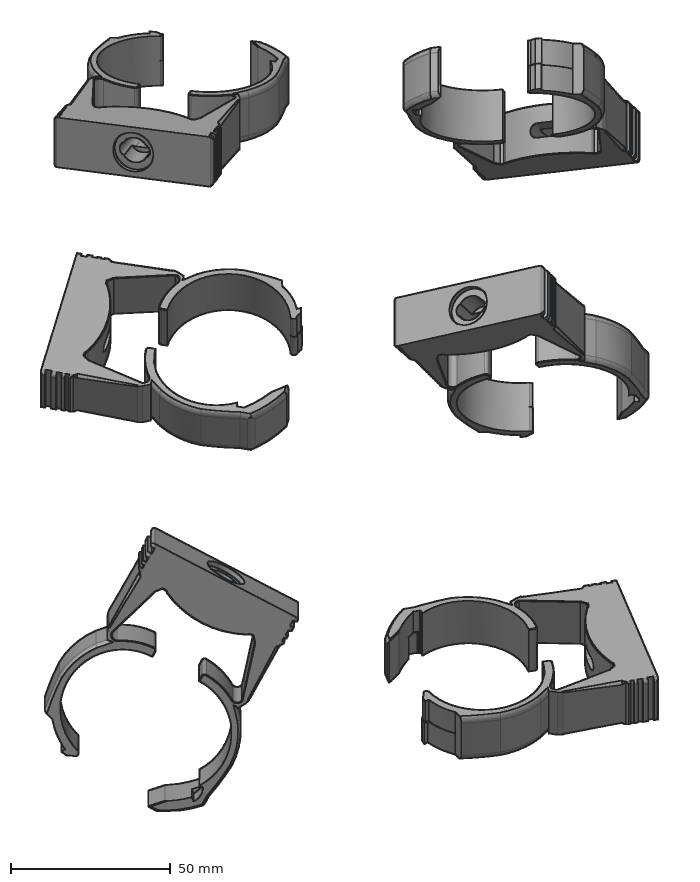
import cadquery as cq
import math


half_depth = 8.5
total_height = 77.24
half_span = 30.9

core_half_width = 24.9
leg_half_width = 25.1
leg_bottom = 10.4
leg_top = 30.9
shoulder = (24.65, 32.5)
hinge = (23.35, 34.9)
hinge_top = (23.35, 35.4)

leg_bevel_stations = [(leg_top, 0.45, 0.2), (11.5, 1.0, 0.95), (10.6, 0.1, 0.1)]

wide_rib = 26.15
narrow_rib = 25.85
ribs = [
    (0.0, 1.45, wide_rib),
    (3.35, 5.0, wide_rib),
    (6.65, 7.85, narrow_rib),
    (8.95, leg_bottom, narrow_rib),
]
foot_round = 0.8
top_rib_bevel = 0.8
deep_groove_half_width = 24.65

counterbore_radius = 6.6
counterbore_depth = 1.7
bore_radius = 4.2
bore_depth = 10.0
slot_length = 10.0
slot_width = 4.9

jaw_x = 8.25
jaw_y = 52.55
jaw_radius = 19.6
underside_y = 53.2
underside_radius = 23.2
jaw_flank = (25.75, 38.1)
jaw_belly = (29.45, 45.0)
jaw_widest = (half_span, 52.6)
jaw_upper_mid = (30.35, 59.0)
wall_end = (29.4, 64.9)
edge_round = 2.78
edge_round_depth = 2.05
envelope_margin = 9.0
clearance = 1.0
jaw_end_round = 1.1
rim_chamfer = 0.25

inside_jaw_root = (20.5, 34.6)
inside_jaw_end = (jaw_x, 31.0)

tongue_start = (-26.1, 65.95)
tongue_mid = (-22.4, 69.75)
catch_root = (-17.85, 72.4)
catch_barb = (-18.5, 73.7)
catch_top = (-16.4, 73.95)
catch_front = (-14.6, 73.1)
catch_nose = (-13.4, 72.1)
catch_end = (-14.0, 71.25)
lower_catch_rise = 0.3

hood_wall_top = (wall_end[0], 66.9)
hood_corner_mid = (29.15, 68.35)
hood_corner_end = (28.4, 69.5)
hood_mid = (23.9, 73.4)
hood_ridge = (17.3, total_height)
hood_tip_top = (14.6, total_height)
hood_tip = (13.95, 76.75)
hood_bevel_end = (17.65, 72.7)
hood_inner_mid = (22.55, 69.3)
hood_inner_end = (26.4, 65.55)
notch_bottom = (26.4, 63.5)
notch_corner = (25.9, 63.05)
lip_tip_y = 63.05

deep_notch_start = (24.4, 67.4)
deep_notch_wall_top = (25.7, 68.5)
deep_notch_wall_mid = (26.5, 66.8)
deep_notch_wall_end = (26.6, 64.3)

saddle_top = 15.9
saddle_radius = 31.8
saddle_end_x = 14.3
window_foot_start = (14.95, 11.95)
window_foot_end = (16.1, 11.85)
window_leg_bottom = (17.65, 13.7)
window_leg_top = (23.15, 32.1)
window_crown = (22.35, 33.4)
window_crown_end_x = 20.7


def mirror_x(point):
    return (-point[0], point[1])


def circle_y(x, centre_x, centre_y, radius, side):
    """Y of a circle at x, on its upper (side = 1) or lower (side = -1) half."""
    return centre_y + side * math.sqrt(radius**2 - (x - centre_x) ** 2)


def jaw_bore_x(y):
    """X of the right jaw's inner face at height y."""
    return jaw_x + math.sqrt(jaw_radius**2 - (y - jaw_y) ** 2)


def prism(outline, half_height=half_depth):
    return outline.close().extrude(half_height, both=True)


def make_leg_bevel(side_x, side_z):
    """Wedge along one outer edge of a leg, widening toward the base and ending in a steep slope."""
    x = side_x * leg_half_width
    z = side_z * half_depth
    sections = []
    for y, width, depth in leg_bevel_stations:
        corners = [
            cq.Vector(x, y, z),
            cq.Vector(x - side_x * width, y, z),
            cq.Vector(x, y, z - side_z * depth),
        ]
        sections.append(cq.Wire.makePolygon(corners, close=True))
    return cq.Workplane(obj=cq.Solid.makeLoft(sections, True))


def make_frame():
    """Base and legs as one block up to the hinges, before the window is cut."""
    right_side = [
        (core_half_width, 0),
        (core_half_width, leg_bottom),
        (leg_half_width, leg_bottom),
        (leg_half_width, leg_top),
        shoulder,
        hinge,
        inside_jaw_root,
        inside_jaw_end,
    ]
    left_side = [mirror_x(point) for point in reversed(right_side)]
    frame = prism(cq.Workplane("XY").polyline(right_side + left_side))
    for side_x in (1, -1):
        for side_z in (1, -1):
            frame = frame.cut(make_leg_bevel(side_x, side_z))
    return frame


def add_ribs(body):
    """Add the grip ribs, rounded where they meet the flat faces, and deepen the lowest groove."""
    for index, (bottom, top, half_width) in enumerate(ribs):
        bar = cq.Workplane("XY").box(2 * half_width, top - bottom, 2 * half_depth)
        bar = bar.translate((0, (bottom + top) / 2, 0))
        bar = bar.edges("|Y").fillet(half_width - core_half_width)
        if index == 0:
            bar = bar.intersect(make_footed_block(top))
        if index == len(ribs) - 1:
            bar = bar.intersect(make_bevelled_block(bottom, top))
        body = body.union(bar)

    groove_bottom = ribs[0][1]
    groove_top = ribs[1][0]
    groove_width = wide_rib - deep_groove_half_width
    groove_x = (wide_rib + deep_groove_half_width) / 2
    groove_y = (groove_bottom + groove_top) / 2
    for side in (1, -1):
        groove = cq.Workplane("XY").box(groove_width, groove_top - groove_bottom, 2 * half_depth)
        groove = groove.translate((side * groove_x, groove_y, 0))
        body = body.cut(groove)
    return body


def make_footed_block(top):
    """Block with rounded bottom corners."""
    foot = cq.Workplane("XY").box(2 * wide_rib, 2 * top, 2 * half_depth)
    foot = foot.edges("|Z and <Y").fillet(foot_round)
    return foot.translate((0, top, 0))


def make_bevelled_block(bottom, top):
    """Block with bevelled top corners."""
    block = cq.Workplane("XY").box(2 * narrow_rib, top - bottom, 2 * half_depth)
    block = block.edges("|Z and >Y").chamfer(top_rib_bevel)
    return block.translate((0, (bottom + top) / 2, 0))


def rounded_slab(outline):
    """Slab over an outline with its outside edges rounded.

    It is over-thick so that the rounding, trimmed at the part's flat faces,
    reaches them at a slope.
    """
    slab = prism(outline, half_depth - edge_round_depth + edge_round)
    return slab.faces("|Z").edges().fillet(edge_round)


def make_wall_envelope(side):
    """Everything inside the outer wall of a jaw, carried on above it; side is 1 right, -1 left.

    The remaining sides lie well clear of the jaw.
    """
    flank_slope = (jaw_flank[1] - hinge_top[1]) / (jaw_flank[0] - hinge_top[0])
    foot_x = hinge_top[0] - envelope_margin
    foot_y = hinge_top[1] - flank_slope * envelope_margin
    top_y = total_height + envelope_margin
    base_y = foot_y - envelope_margin

    outline = start_outer_chain(side).threePointArc(
        (side * jaw_upper_mid[0], jaw_upper_mid[1]), (side * wall_end[0], wall_end[1])
    )
    outline = outline.lineTo(side * wall_end[0], top_y).lineTo(-side * envelope_margin, top_y)
    outline = outline.lineTo(-side * envelope_margin, base_y).lineTo(side * foot_x, base_y)
    return rounded_slab(outline.lineTo(side * foot_x, foot_y))


def make_hood_envelope():
    """Disc that rounds the outside of the hood, cut off by a rounded flat at its ridge."""
    centre_x, centre_y, radius = circle_through(hood_corner_end, hood_mid, hood_ridge)
    slab_height = half_depth - edge_round_depth + edge_round
    disc = cq.Workplane("XY").center(centre_x, centre_y).circle(radius).extrude(slab_height, both=True)
    disc = disc.edges("%CIRCLE").fillet(edge_round)
    flat = cq.Workplane("XY").box(4 * radius, 2 * total_height, 2 * slab_height)
    flat = flat.edges(">Y and |X").fillet(edge_round)
    below = cq.Workplane("XY").box(4 * radius, 2 * jaw_y, 2 * slab_height)
    return disc.intersect(flat).union(below)


def circle_through(first, second, third):
    """Centre X, centre Y and radius of the circle through three points."""
    edge = cq.Edge.makeThreePointArc(cq.Vector(*first), cq.Vector(*second), cq.Vector(*third))
    centre = edge.arcCenter()
    return centre.x, centre.y, edge.radius()


def start_outer_chain(side):
    """Outer face of a jaw from the hinge up to its widest point; side is 1 right, -1 left."""
    chain = cq.Workplane("XY").moveTo(side * hinge_top[0], hinge_top[1])
    chain = chain.lineTo(side * jaw_flank[0], jaw_flank[1])
    return chain.threePointArc((side * jaw_belly[0], jaw_belly[1]), (side * jaw_widest[0], jaw_widest[1]))


def close_jaw_root(chain, side):
    """Close a jaw outline from the bottom of its bore, through window space, to the hinge."""
    below_jaw_y = underside_y - underside_radius - clearance
    return chain.lineTo(side * jaw_x, below_jaw_y).lineTo(side * hinge[0], hinge[1])


def left_jaw_outline(rise):
    """Left jaw with its catch lifted by rise."""
    def lifted(point):
        return (point[0], point[1] + rise)

    chain = start_outer_chain(-1)
    chain = chain.threePointArc(mirror_x(jaw_upper_mid), mirror_x(wall_end))
    chain = chain.lineTo(*tongue_start).threePointArc(tongue_mid, lifted(catch_root))
    chain = chain.lineTo(*lifted(catch_barb)).lineTo(*lifted(catch_top))
    chain = chain.lineTo(*lifted(catch_front)).threePointArc(catch_nose, catch_end)
    chain = chain.threePointArc((-jaw_x - jaw_radius, jaw_y), (-jaw_x, jaw_y - jaw_radius))
    return close_jaw_root(chain, -1)


def make_left_jaw():
    upper = left_jaw_outline(0).close().extrude(half_depth)
    lower = left_jaw_outline(lower_catch_rise).close().extrude(-half_depth)
    return upper.union(lower).intersect(make_wall_envelope(-1))


def make_right_jaw():
    chain = start_outer_chain(1).threePointArc(jaw_upper_mid, wall_end).lineTo(*hood_wall_top)
    chain = chain.threePointArc(hood_corner_mid, hood_corner_end).threePointArc(hood_mid, hood_ridge)
    chain = chain.lineTo(*hood_tip_top).lineTo(*hood_tip).lineTo(*hood_bevel_end)
    chain = chain.threePointArc(hood_inner_mid, hood_inner_end)
    chain = chain.lineTo(*notch_bottom).lineTo(*notch_corner).lineTo(jaw_bore_x(lip_tip_y), lip_tip_y)
    chain = chain.threePointArc((jaw_x + jaw_radius, jaw_y), (jaw_x, jaw_y - jaw_radius))
    jaw = prism(close_jaw_root(chain, 1))

    bevel_mid_x = (hood_tip[0] + hood_bevel_end[0]) / 2
    bevel_mid_y = (hood_tip[1] + hood_bevel_end[1]) / 2
    for z in (half_depth, -half_depth):
        tip_edge = cq.selectors.NearestToPointSelector((bevel_mid_x, bevel_mid_y, z))
        jaw = jaw.edges(tip_edge).chamfer(rim_chamfer)

    jaw = jaw.intersect(make_wall_envelope(1)).intersect(make_hood_envelope())
    return jaw.cut(make_deep_notch())


def make_deep_notch():
    """Pocket that lengthens and deepens the catch notch below Z = 0."""
    outline = cq.Workplane("XY").moveTo(*deep_notch_start).lineTo(*deep_notch_wall_top)
    outline = outline.threePointArc(deep_notch_wall_mid, deep_notch_wall_end)
    outline = outline.lineTo(*notch_corner).lineTo(jaw_bore_x(lip_tip_y), lip_tip_y)
    return outline.close().extrude(-half_depth)


def window_outline():
    """Opening bounded by the saddle, the legs and the undersides of the jaws."""
    saddle_centre_y = saddle_top - saddle_radius
    saddle_end = (saddle_end_x, circle_y(saddle_end_x, 0, saddle_centre_y, saddle_radius, 1))
    crown_y = circle_y(window_crown_end_x, jaw_x, underside_y, underside_radius, -1)
    crown_end = (window_crown_end_x, crown_y)
    jaw_end_bottom = underside_y - underside_radius
    round_start_x = jaw_x + jaw_end_round
    round_start = (round_start_x, circle_y(round_start_x, jaw_x, underside_y, underside_radius, -1))
    under_mid_x = (window_crown_end_x + round_start_x) / 2
    under_mid = (under_mid_x, circle_y(under_mid_x, jaw_x, underside_y, underside_radius, -1))
    round_inset = jaw_end_round * (1 - math.sqrt(0.5))
    round_mid = (jaw_x + round_inset, jaw_end_bottom + round_inset)
    round_end = (jaw_x, jaw_end_bottom + jaw_end_round)
    open_top_y = jaw_y - jaw_radius + clearance

    outline = cq.Workplane("XY").moveTo(*mirror_x(saddle_end)).threePointArc((0, saddle_top), saddle_end)
    outline = outline.lineTo(*window_foot_start).lineTo(*window_foot_end).lineTo(*window_leg_bottom)
    outline = outline.lineTo(*window_leg_top).threePointArc(window_crown, crown_end)
    outline = outline.threePointArc(under_mid, round_start).threePointArc(round_mid, round_end)
    outline = outline.lineTo(jaw_x, open_top_y).lineTo(-jaw_x, open_top_y).lineTo(*mirror_x(round_end))
    outline = outline.threePointArc(mirror_x(round_mid), mirror_x(round_start))
    outline = outline.threePointArc(mirror_x(under_mid), mirror_x(crown_end))
    outline = outline.threePointArc(mirror_x(window_crown), mirror_x(window_leg_top))
    outline = outline.lineTo(*mirror_x(window_leg_bottom)).lineTo(*mirror_x(window_foot_end))
    return outline.lineTo(*mirror_x(window_foot_start)).close()


def make_window():
    """Window cutter, flaring at both faces to chamfer the rim."""
    window = window_outline().extrude(half_depth, both=True)
    flare = window_outline().extrude(rim_chamfer, taper=-45)
    flare = flare.translate((0, 0, half_depth - rim_chamfer))
    return window.union(flare).union(flare.mirror("XY"))


def make_screw_hole():
    """Counterbore and round bore from the base face, then a slot through to the window."""
    base_face = cq.Workplane("XZ")
    counterbore = base_face.circle(counterbore_radius).extrude(-counterbore_depth)
    bore = base_face.circle(bore_radius).extrude(-bore_depth)
    slot = base_face.slot2D(slot_length, slot_width).extrude(-saddle_top)
    return counterbore.union(bore).union(slot)


body = add_ribs(make_frame())
body = body.union(make_left_jaw()).union(make_right_jaw())
body = body.cut(make_window())
result = body.cut(make_screw_hole())